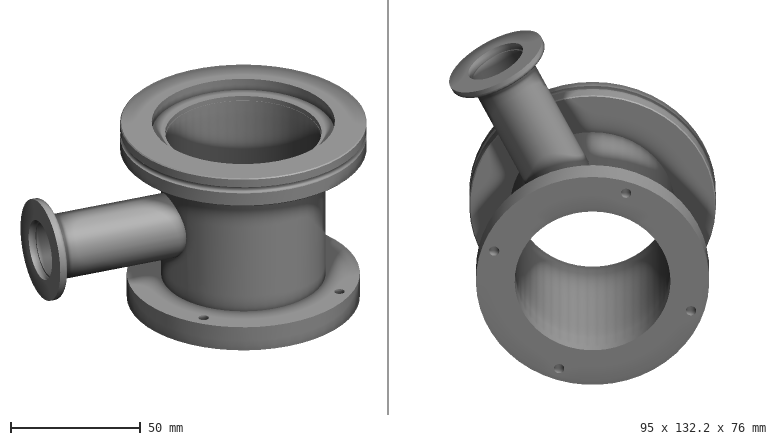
import cadquery as cq
import math

total_height = 76.0
total_length = 132.2
port_height = 37.2

main_tube_radius = 31.7
main_bore_radius = 30.0
side_tube_radius = 12.7
side_bore_radius = 11.1

base_radius = 45
base_thickness = 10.0
bolt_circle_radius = 40.0
bolt_hole_radius = 2.0
bolt_count = 4
first_bolt_angle = 45

clamp_diameter = 95.0
clamp_radius = clamp_diameter / 2
clamp_thickness = 12.0
clamp_chamfer = 0.4
seat_radius = 35.3
seat_depth = 4.8
clamp_bore_radius = 30.1
clamp_lip_thickness = 2.0
groove_top_depth = 3.7
groove_width = 2.6
groove_floor_radius = 46.0
groove_round = 1.2

port_radius = 20.0
port_thickness = 5.0
port_cone_angle = 15
port_edge_round = 1.6
port_mouth_depth = 2.9
port_mouth_radius = 11.8

port_reach = total_length - clamp_radius
socket_floor = total_height - seat_depth - clamp_lip_thickness
clamp_bottom = total_height - clamp_thickness


def cylinder_z(radius, bottom, top):
    """Vertical cylinder on the main axis."""
    return cq.Workplane("XY").workplane(offset=bottom).circle(radius).extrude(top - bottom)


def cylinder_port(radius, start, end):
    """Cylinder on the port axis, between two distances from the main axis."""
    plane = cq.Workplane("XZ", origin=(0, -start, port_height))
    return plane.circle(radius).extrude(end - start)


def make_tube():
    """Main tube with a hole in its wall that receives the side tube."""
    tube = cylinder_z(main_tube_radius, 0, socket_floor)
    tube = tube.cut(cylinder_z(main_bore_radius, 0, socket_floor))
    return tube.cut(cylinder_port(side_tube_radius, 0, main_tube_radius))


def make_base_flange():
    """Bolt flange around the foot of the main tube."""
    flange = cylinder_z(base_radius, 0, base_thickness)
    flange = flange.cut(cylinder_z(main_tube_radius, 0, base_thickness))
    bolt_holes = (
        cq.Workplane("XY")
        .polarArray(bolt_circle_radius, first_bolt_angle, 360, bolt_count)
        .circle(bolt_hole_radius)
        .extrude(base_thickness)
    )
    return flange.cut(bolt_holes)


def make_clamp_groove():
    """Ring that cuts the clamp groove, with its inner corners rounded."""
    groove_top = total_height - groove_top_depth
    groove_bottom = groove_top - groove_width
    ring = cylinder_z(clamp_radius, groove_bottom, groove_top)
    core = cylinder_z(groove_floor_radius, groove_bottom, groove_top)
    ring = ring.cut(core)
    inner_edges = cq.selectors.RadiusNthSelector(0)
    return ring.edges(inner_edges).fillet(groove_round)


def make_clamp_flange():
    """Grooved flange with a seat on top and a socket for the main tube below."""
    flange = cylinder_z(clamp_radius, clamp_bottom, total_height)
    flange = flange.faces("<Z or >Z").edges().chamfer(clamp_chamfer)
    flange = flange.cut(make_clamp_groove())
    flange = flange.cut(cylinder_z(clamp_bore_radius, clamp_bottom, total_height))
    flange = flange.cut(cylinder_z(seat_radius, total_height - seat_depth, total_height))
    return flange.cut(cylinder_z(main_tube_radius, clamp_bottom, socket_floor))


def make_side_port():
    """Side tube, flush with the main bore, with a cone-backed flange at its outer end."""
    flange_back = port_reach - port_thickness
    cone_rise = (port_radius - side_tube_radius) * math.tan(math.radians(port_cone_angle))
    port = (
        cq.Workplane("XY", origin=(0, 0, port_height))
        .lineTo(side_tube_radius, 0)
        .lineTo(side_tube_radius, -flange_back)
        .lineTo(port_radius, -(flange_back + cone_rise))
        .lineTo(port_radius, -port_reach)
        .lineTo(0, -port_reach)
        .close()
        .revolve(360, (0, 0, 0), (0, 1, 0))
    )
    largest_circles = cq.selectors.RadiusNthSelector(-1)
    rim_back = port.edges(largest_circles).edges(">Y")
    port = rim_back.fillet(port_edge_round)
    port = port.cut(cylinder_z(main_bore_radius, 0, socket_floor))
    port = port.cut(cylinder_port(side_bore_radius, 0, port_reach))
    return port.cut(cylinder_port(port_mouth_radius, port_reach - port_mouth_depth, port_reach))


tube = make_tube()
base_flange = make_base_flange()
clamp_flange = make_clamp_flange()
side_port = make_side_port()

result = cq.Compound.makeCompound(
    [tube.val(), base_flange.val(), clamp_flange.val(), side_port.val()]
)